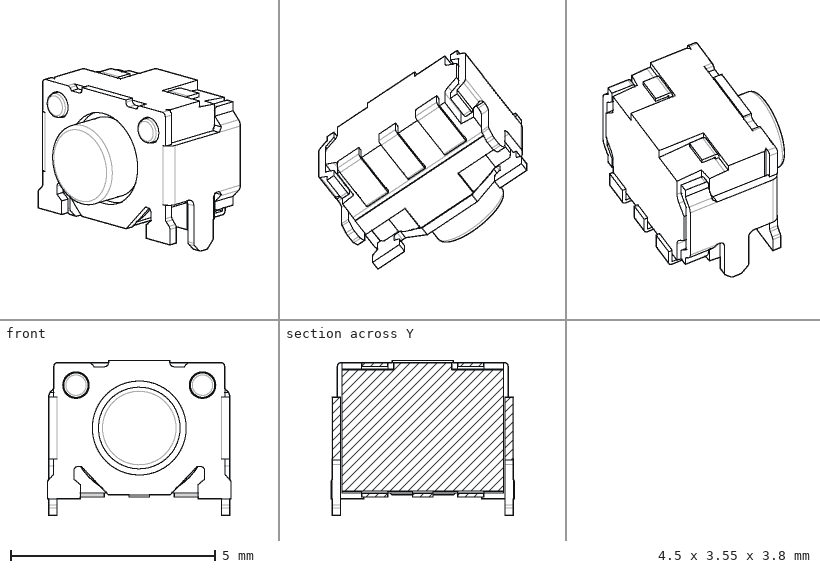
import cadquery as cq
import math


overall_height = 3.8
fold_angle = math.pi / 4

plate_thickness = 0.225
plate_half_width = 2.092
plate_top = 1.6
plate_bottom = -1.64
plate_radius = 0.1
button_opening_diameter = 2.3

crest_half_width = 0.75
crest_top = 1.655
crest_notch_floor = 1.5
crest_notch_floor_end = 1.102
crest_notch_end = 1.192

foot_outer_x = 2.25
foot_inner_x = 1.44
foot_bottom = -1.735
foot_flare_top = -1.14
foot_flare_bottom = foot_flare_top - (foot_outer_x - plate_half_width)

relief_top = -0.945
relief_outer_x = 1.6
relief_corner_x = 1.415
relief_inner_x = 0.755
relief_neck_top = -1.25
relief_neck_bottom = -1.385

button_diameter = 2.0
button_front = -0.832
button_edge_radius = 0.1

pin_x = 1.55
pin_z = 1.05
pin_diameter = 0.6
pin_hole_diameter = 0.65
pin_front = -0.12
pin_edge_radius = 0.05

body_half_width = 1.98
body_top = plate_top
body_bottom = -1.595
body_back = 2.555
body_front_chamfer = 0.075

recess_inner_x = 0.715
recess_front = 1.32
recess_ledge_length = 0.1
top_recess_back_z = 1.355
bottom_recess_back_z = -1.465
recess_rise = 0.09

pocket_inner_x = 1.625
pocket_front_inner = 1.875
pocket_front_outer = 1.84
pocket_rib_half_height = 0.428
pocket_slope_end_x = 1.73
pocket_slope_end_z = 0.665
pocket_arc_end_z = 0.885

corner_cut_radius = 1.72
corner_cut_top = -0.9
corner_cut_inner_x = 0.8
corner_cut_back = 0.875

arm_outer_x = 2.22
arm_thickness = 0.205
arm_inner_x = arm_outer_x - arm_thickness
arm_half_height = 0.755
arm_back = 2.51
flap_front = 1.868
flap_half_height = 1.325
flap_tip_outer_x = 1.965
flap_corner_radius = 0.09
flap_root_chamfer = 0.11

leg_front = corner_cut_back
leg_back = 1.56
leg_bottom = crest_top - overall_height
leg_tip_chamfer = 0.21
leg_tip_radius = 0.1
leg_front_root_radius = 0.17
leg_back_root_radius = 0.135

contact_thickness = 0.1
contact_bend_radius = 0.1
contact_root_radius = 0.05
contact_outer_x = 1.5
contact_inner_x = 0.855
centre_contact_half_width = 0.25
contact_back = 2.72
contact_tail_top = -1.195
contact_root = 1.475
stub_back = 1.785
stub_root_depth = 0.18


def box(x_range, y_range, z_range):
    """Axis-aligned box from its limits on each axis."""
    limits = (x_range, y_range, z_range)
    lengths = [high - low for low, high in limits]
    return cq.Workplane("XY").box(*lengths, centered=False).translate([low for low, high in limits])


def front_workplane(y):
    """XZ sketch plane at depth y; a positive extrude runs toward -Y."""
    return cq.Workplane("XZ", origin=(0, y, 0))


def cylinder_y(diameter, y_start, y_end, x=0, z=0):
    """Cylinder along Y from y_start to y_end."""
    return front_workplane(y_end).center(x, z).circle(diameter / 2).extrude(y_end - y_start)


def both_sides(solid):
    """The solid together with its mirror image across X = 0."""
    return solid.union(solid.mirror("YZ"))


def round_edges_at(solid, midpoints, radius):
    """Fillet the edges whose midpoints are given."""
    for midpoint in midpoints:
        solid = solid.edges(cq.selectors.NearestToPointSelector(midpoint)).fillet(radius)
    return solid


def make_plate():
    crest_corner = (crest_half_width, crest_notch_floor)
    notch_corner = (crest_notch_end, plate_top)
    top_corner = (plate_half_width, plate_top)
    flare_top = (plate_half_width, foot_flare_top)
    flare_bottom = (foot_outer_x, foot_flare_bottom)
    relief_corner = (relief_outer_x, relief_top)
    half_outline = [
        (0, crest_top),
        (crest_half_width, crest_top),
        crest_corner,
        (crest_notch_floor_end, crest_notch_floor),
        notch_corner,
        top_corner,
        flare_top,
        flare_bottom,
        (foot_outer_x, foot_bottom),
        (foot_inner_x, foot_bottom),
        (foot_inner_x, relief_neck_bottom),
        (relief_outer_x, relief_neck_top),
        relief_corner,
        (relief_corner_x, relief_top),
        (relief_inner_x, plate_bottom),
        (0, plate_bottom),
    ]
    half = front_workplane(plate_thickness).polyline(half_outline).close().extrude(plate_thickness)
    rounded = [crest_corner, notch_corner, top_corner, flare_top, flare_bottom, relief_corner]
    midpoints = [(x, plate_thickness / 2, z) for x, z in rounded]
    half = round_edges_at(half, midpoints, plate_radius)
    half = half.cut(box((arm_inner_x, foot_outer_x), (0, plate_thickness), (-arm_half_height, arm_half_height)))
    half = half.cut(cylinder_y(pin_hole_diameter, 0, plate_thickness, pin_x, pin_z))
    return both_sides(half).cut(cylinder_y(button_opening_diameter, 0, plate_thickness))


def make_button():
    button = cylinder_y(button_diameter, button_front, plate_thickness)
    return button.faces("<Y").edges().fillet(button_edge_radius)


def make_pins():
    pin = cylinder_y(pin_diameter, pin_front, plate_thickness, pin_x, pin_z)
    return both_sides(pin.faces("<Y").edges().fillet(pin_edge_radius))


def tapered_recess(back_z, face_z, x_start, x_end):
    """Cutter from a short level ledge and a floor sloping to the back, out to the body face at face_z."""
    front_z = back_z + math.copysign(recess_rise, face_z)
    outline = [
        (recess_front, face_z),
        (recess_front, front_z),
        (recess_front + recess_ledge_length, front_z),
        (body_back, back_z),
        (body_back, face_z),
    ]
    return cq.Workplane("YZ", origin=(x_start, 0, 0)).polyline(outline).close().extrude(x_end - x_start)


def flap_pocket():
    """Cutter for the +X side of the body, clearing the folded arm flap above the side rib."""
    profile = (
        front_workplane(body_back)
        .moveTo(body_half_width, pocket_rib_half_height)
        .lineTo(pocket_slope_end_x, pocket_slope_end_z)
        .tangentArcPoint((pocket_inner_x, pocket_arc_end_z), relative=False)
        .lineTo(pocket_inner_x, body_top)
        .lineTo(body_half_width, body_top)
        .close()
        .extrude(body_back)
    )
    plan = [
        (pocket_inner_x, body_back),
        (pocket_inner_x, pocket_front_inner),
        (body_half_width, pocket_front_outer),
        (body_half_width, body_back),
    ]
    return profile.intersect(cq.Workplane("XY").polyline(plan).close().extrude(body_top))


def lower_corner_cut():
    """Cutter for the +X lower front corner, leaving a round wall about the button axis."""
    depth = (plate_thickness, corner_cut_back)
    corner = box((corner_cut_inner_x, body_half_width), depth, (body_bottom, corner_cut_top))
    return corner.cut(cylinder_y(2 * corner_cut_radius, *depth))


def make_body():
    body = box((-body_half_width, body_half_width), (plate_thickness, body_back), (body_bottom, body_top))
    body = body.faces("<Y").edges("|Z").chamfer(body_front_chamfer)
    body = body.cut(tapered_recess(bottom_recess_back_z, body_bottom, -body_half_width, body_half_width))
    body = body.cut(both_sides(tapered_recess(top_recess_back_z, body_top, recess_inner_x, body_half_width)))
    pocket = flap_pocket()
    body = body.cut(both_sides(pocket.union(pocket.mirror("XY"))))
    return body.cut(both_sides(lower_corner_cut()))


def make_arm():
    """The +X arm: a bent side wall with two inward-folded flaps and a solder leg."""
    wall = (
        cq.Workplane("XY", origin=(0, 0, -arm_half_height))
        .moveTo(arm_inner_x, 0)
        .radiusArc((arm_outer_x, arm_thickness), -arm_thickness)
        .lineTo(arm_outer_x, arm_back)
        .lineTo(arm_inner_x, arm_back)
        .close()
        .extrude(2 * arm_half_height)
    )

    fold_z = arm_half_height + arm_thickness * math.tan(fold_angle / 2)
    tip_bend_z = fold_z + arm_outer_x - flap_tip_outer_x
    flap_tip_inner_x = flap_tip_outer_x - arm_thickness
    inner_bend_z = arm_half_height + arm_inner_x - flap_tip_inner_x
    fold_arc_x = arm_inner_x + arm_thickness * math.cos(fold_angle)
    fold_arc_z = arm_half_height + arm_thickness * math.sin(fold_angle)
    sheet = (
        front_workplane(arm_back)
        .moveTo(arm_outer_x, arm_half_height)
        .radiusArc((fold_arc_x, fold_arc_z), -arm_thickness)
        .lineTo(flap_tip_outer_x, tip_bend_z)
        .lineTo(flap_tip_outer_x, flap_half_height)
        .lineTo(flap_tip_inner_x, flap_half_height)
        .lineTo(flap_tip_inner_x, inner_bend_z)
        .lineTo(arm_inner_x, arm_half_height)
        .close()
        .extrude(arm_back - flap_front + flap_root_chamfer)
    )
    silhouette = (
        cq.Workplane("YZ")
        .moveTo(arm_back, arm_half_height)
        .lineTo(arm_back, flap_half_height)
        .lineTo(flap_front + flap_corner_radius, flap_half_height)
        .radiusArc((flap_front, flap_half_height - flap_corner_radius), -flap_corner_radius)
        .lineTo(flap_front, arm_half_height + flap_root_chamfer)
        .lineTo(flap_front - flap_root_chamfer, arm_half_height)
        .close()
        .extrude(arm_outer_x)
    )
    flap = sheet.intersect(silhouette)

    leg = (
        cq.Workplane("YZ", origin=(arm_inner_x, 0, 0))
        .moveTo(leg_front - leg_front_root_radius, -arm_half_height)
        .radiusArc((leg_front, -arm_half_height - leg_front_root_radius), leg_front_root_radius)
        .lineTo(leg_front, leg_bottom + leg_tip_chamfer)
        .lineTo(leg_front + leg_tip_chamfer, leg_bottom)
        .lineTo(leg_back - leg_tip_chamfer, leg_bottom)
        .lineTo(leg_back, leg_bottom + leg_tip_chamfer)
        .lineTo(leg_back, -arm_half_height - leg_back_root_radius)
        .radiusArc((leg_back + leg_back_root_radius, -arm_half_height), leg_back_root_radius)
        .close()
        .extrude(arm_thickness)
    )
    leg_mid_x = arm_inner_x + arm_thickness / 2
    leg_tip_corners = [
        (leg_mid_x, leg_front, leg_bottom + leg_tip_chamfer),
        (leg_mid_x, leg_front + leg_tip_chamfer, leg_bottom),
        (leg_mid_x, leg_back - leg_tip_chamfer, leg_bottom),
        (leg_mid_x, leg_back, leg_bottom + leg_tip_chamfer),
    ]
    leg = round_edges_at(leg, leg_tip_corners, leg_tip_radius)
    return wall.union(flap).union(flap.mirror("XY")).union(leg)


def contact(x_start, x_end):
    """Strip leaving the body downward, running back under it and turning up behind it."""
    underside = body_bottom - contact_thickness
    width = (x_start, x_end)
    strip = box(width, (contact_root, contact_back), (underside, contact_tail_top))
    hollow = box(
        width,
        (contact_root + contact_thickness, contact_back - contact_thickness),
        (body_bottom, contact_tail_top),
    )
    strip = strip.edges("|X and >Y and <Z").fillet(contact_bend_radius)
    strip = strip.edges("|X and <Y and <Z").fillet(contact_root_radius)
    return strip.cut(hollow)


def top_stub():
    """Short contact end lying in the +X top recess, flush with the top of the body."""
    width = (contact_inner_x, contact_outer_x)
    stub = box(width, (recess_front, stub_back), (body_top - stub_root_depth, body_top))
    hollow = box(
        width,
        (recess_front + contact_thickness, stub_back),
        (body_top - stub_root_depth, body_top - contact_thickness),
    )
    return stub.edges("|X and <Y and >Z").fillet(contact_bend_radius).cut(hollow)


result = (
    make_body()
    .union(make_plate())
    .union(make_button())
    .union(make_pins())
    .union(both_sides(make_arm()))
    .union(both_sides(contact(contact_inner_x, contact_outer_x)))
    .union(contact(-centre_contact_half_width, centre_contact_half_width))
    .union(both_sides(top_stub()))
)